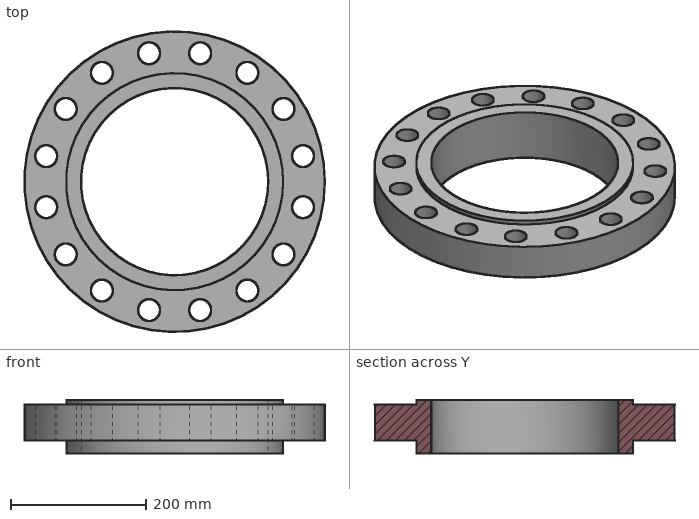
import cadquery as cq

flange_diameter = 444.5
flange_thickness = 54.0
bore_diameter = 276.5

collar_diameter = 321.0
raised_face_height = 6.5
total_height = 79.5
hub_height = total_height - flange_thickness - raised_face_height

bolt_count = 16
bolt_circle_diameter = 387.0
bolt_hole_diameter = 32.0
bolt_spacing = 360 / bolt_count


def cylinder(diameter, height, base_z):
    return cq.Workplane("XY").workplane(offset=base_z).circle(diameter / 2).extrude(height)


collar = cylinder(collar_diameter, total_height, 0)
flange = cylinder(flange_diameter, flange_thickness, hub_height)
bore = cylinder(bore_diameter, total_height, 0)

bolt_holes = (
    cq.Workplane("XY")
    .workplane(offset=hub_height)
    .polarArray(bolt_circle_diameter / 2, bolt_spacing / 2, 360, bolt_count)
    .circle(bolt_hole_diameter / 2)
    .extrude(flange_thickness)
)

result = flange.union(collar).cut(bore).cut(bolt_holes)